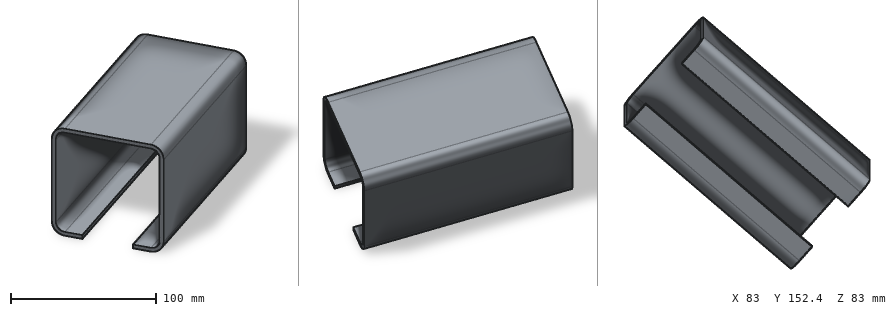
import cadquery as cq

side = 83.0
length = 152.4
wall = 3.0
corner_radius = 9.6
slot_width = 37.6

inner_side = side - 2 * wall
inner_radius = corner_radius - wall


def rounded_bar(width, radius):
    """Square bar along Y, centred on the origin, with rounded long edges."""
    return cq.Workplane("XY").box(width, length, width).edges("|Y").fillet(radius)


tube = rounded_bar(side, corner_radius).cut(rounded_bar(inner_side, inner_radius))

slot = cq.Workplane("XY").box(slot_width, length, wall).translate((0, 0, (wall - side) / 2))

result = tube.cut(slot)